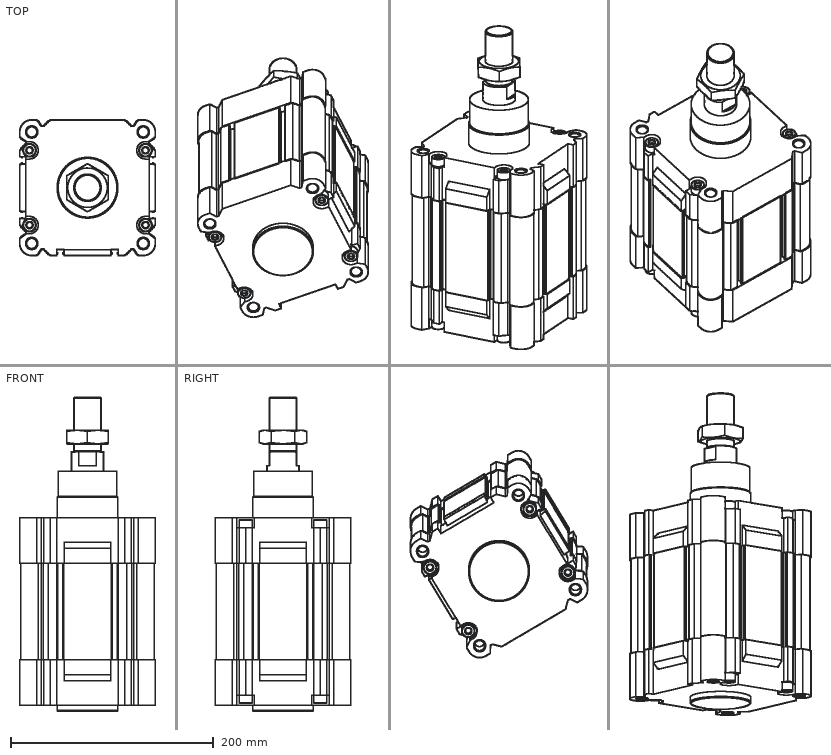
import cadquery as cq
import math


cap_height = 45
barrel_length = 95
body_length = 2 * cap_height + barrel_length
spigot_length = 6
collar_wide_length = 21
collar_length = 46
rod_shoulder_z = body_length + 65
rod_end_z = rod_shoulder_z + 54

cap_half = 67
barrel_half = 66
corner_offset = 55

cap_groove = {"outer": 49.9, "floor_outer": 45.6, "floor_inner": 43.3, "inner": 36.7, "floor": 60.4}
barrel_groove = {"outer": 48.4, "floor_outer": 45.4, "floor_inner": 43.5, "inner": 38.6, "floor": 61}

recess_half_width = 30.3
recess_floor = 61
pad_half_width = 23.1
pad_length = 21
pad_ramp_length = 6

slot_inner = 23.6
slot_outer = 30.3
slot_lip = 0.8
slot_lip_depth = 1.8
slot_lip_chamfer = 0.9
slot_floor = 60

corner_hole_diameter = 10.11
corner_hole_mouth = 12
corner_hole_depth = 24

screw_x = 57.2
screw_y = 36.9
screw_pocket_diameter = 17.2
screw_pocket_depth = 10
screw_head_diameter = 13
screw_head_chamfer = 0.5
screw_head_height = 8
screw_socket_diameter = 5.8
screw_socket_mouth = 7
screw_socket_depth = 4

spigot_diameter = 60
collar_diameter = 58
spigot_chamfer = (spigot_diameter - collar_diameter) / 2

rod_diameter = 32
thread_diameter = 27
thread_root_diameter = 24.84
thread_chamfer = (thread_diameter - thread_root_diameter) / 2
flat_width = 27
flat_length = 13.5
nut_width = 41
nut_thickness = 13.8
nut_z = rod_shoulder_z + 7.7
nut_chamfer_height = 1.5
nut_face_diameter = 0.95 * nut_width

quarter_turns = (0, 90, 180, 270)
drill_point_slope = 1 / math.tan(math.radians(118 / 2))


def turned(shape, angle):
    """Turn a shape about the cylinder axis."""
    return shape.rotate((0, 0, 0), (0, 0, 1), angle)


def block(x_min, x_max, y_min, y_max, z_min, z_max):
    """Box between two corners."""
    size = (x_max - x_min, y_max - y_min, z_max - z_min)
    return cq.Workplane().box(*size, centered=False).translate((x_min, y_min, z_min))


def column(half_size, groove, height):
    """Square column with round corners and a V-groove on both sides of each corner."""
    side = 2 * half_size
    shape = cq.Workplane().rect(side, side).extrude(height)
    shape = shape.edges("|Z").fillet(half_size - corner_offset)
    profile = [
        (groove["outer"], -half_size),
        (groove["floor_outer"], -groove["floor"]),
        (groove["floor_inner"], -groove["floor"]),
        (groove["inner"], -half_size),
    ]
    cutter = cq.Workplane().polyline(profile).close().extrude(height)
    for angle in quarter_turns:
        shape = shape.cut(turned(cutter, angle))
        shape = shape.cut(turned(cutter.mirror("YZ"), angle))
    return shape


def side_pad():
    """Raised pad on the -Y side of a cap, standing on the barrel end and sloping off."""
    profile = [
        (-recess_floor, 0),
        (-cap_half, 0),
        (-cap_half, pad_length - pad_ramp_length),
        (-recess_floor, pad_length),
    ]
    return cq.Workplane("YZ").polyline(profile).close().extrude(pad_half_width, both=True)


def corner_hole():
    """Threaded hole with a chamfered mouth, on the axis and open at the cap's end face."""
    root_radius = corner_hole_diameter / 2
    mouth_radius = corner_hole_mouth / 2
    bottom = cap_height - corner_hole_depth
    profile = [
        (0, bottom - root_radius * drill_point_slope),
        (root_radius, bottom),
        (root_radius, cap_height - (mouth_radius - root_radius)),
        (mouth_radius, cap_height),
        (0, cap_height),
    ]
    return cq.Workplane("XZ").polyline(profile).close().revolve(360, (0, 0), (0, 1))


def cap_screw():
    """Cap screw head with a round key socket, on the axis in its pocket."""
    floor = cap_height - screw_pocket_depth
    head = cq.Workplane().workplane(offset=floor).circle(screw_head_diameter / 2).extrude(screw_head_height)
    head = head.faces(">Z").chamfer(screw_head_chamfer)
    top = floor + screw_head_height
    radius = screw_socket_diameter / 2
    mouth_radius = screw_socket_mouth / 2
    profile = [
        (0, top),
        (mouth_radius, top),
        (radius, top - (mouth_radius - radius)),
        (radius, top - screw_socket_depth),
        (0, top - screw_socket_depth - radius * drill_point_slope),
    ]
    return head.cut(cq.Workplane("XZ").polyline(profile).close().revolve(360, (0, 0), (0, 1)))


def make_cap():
    """End cap with its barrel side at Z = 0 and its end face at the top."""
    cap = column(cap_half, cap_groove, cap_height)
    recess = block(-recess_half_width, recess_half_width, -cap_half, -recess_floor, 0, cap_height)
    for angle in (0, 90, 270):
        cap = cap.cut(turned(recess, angle)).union(turned(side_pad(), angle))
    pocket_floor = cap_height - screw_pocket_depth
    pocket_radius = screw_pocket_diameter / 2
    pocket = cq.Workplane().workplane(offset=pocket_floor).circle(pocket_radius).extrude(screw_pocket_depth)
    side_opening = block(0, cap_half - screw_x, -pocket_radius, pocket_radius, pocket_floor, cap_height)
    pocket = pocket.union(side_opening)
    for x_sign in (-1, 1):
        for y_sign in (-1, 1):
            screw_place = (x_sign * screw_x, y_sign * screw_y, 0)
            pocket_turn = 0 if x_sign > 0 else 180
            hole_place = (x_sign * corner_offset, y_sign * corner_offset, 0)
            cap = cap.cut(turned(pocket, pocket_turn).translate(screw_place))
            cap = cap.union(cap_screw().translate(screw_place))
            cap = cap.cut(corner_hole().translate(hole_place))
    return cap


def make_barrel():
    """Barrel profile with two undercut slots in each side, standing on Z = 0."""
    barrel = column(barrel_half, barrel_groove, barrel_length)
    mouth_inner = slot_inner + slot_lip
    mouth_outer = slot_outer - slot_lip
    profile = [
        (mouth_inner - slot_lip_chamfer, -barrel_half),
        (mouth_inner, slot_lip_chamfer - barrel_half),
        (mouth_inner, slot_lip_depth - barrel_half),
        (slot_inner, slot_lip_depth - barrel_half),
        (slot_inner, -slot_floor),
        (slot_outer, -slot_floor),
        (slot_outer, slot_lip_depth - barrel_half),
        (mouth_outer, slot_lip_depth - barrel_half),
        (mouth_outer, slot_lip_chamfer - barrel_half),
        (mouth_outer + slot_lip_chamfer, -barrel_half),
    ]
    slot = cq.Workplane().polyline(profile).close().extrude(barrel_length)
    for angle in quarter_turns:
        barrel = barrel.cut(turned(slot, angle)).cut(turned(slot.mirror("YZ"), angle))
    return barrel


def spigot(length):
    """Chamfered centring spigot standing on Z = 0."""
    return cq.Workplane().circle(spigot_diameter / 2).extrude(length).faces(">Z").chamfer(spigot_chamfer)


def make_housing():
    """Rear cap, barrel, front cap, spigots and rod collar as one body."""
    cap = make_cap()
    front_cap = cap.translate((0, 0, body_length - cap_height))
    rear_cap = cap.mirror("XY").translate((0, 0, cap_height))
    barrel = make_barrel().translate((0, 0, cap_height))
    rear_spigot = spigot(spigot_length).mirror("XY")
    front_spigot = spigot(collar_wide_length).translate((0, 0, body_length))
    collar = cq.Workplane().workplane(offset=body_length).circle(collar_diameter / 2).extrude(collar_length)
    housing = barrel.union(front_cap).union(rear_cap)
    return housing.union(rear_spigot).union(front_spigot).union(collar)


def make_rod():
    """Piston rod with wrench flats and a threaded end, standing on the collar."""
    rod = (
        cq.Workplane()
        .workplane(offset=body_length + collar_length)
        .circle(rod_diameter / 2)
        .extrude(rod_shoulder_z - body_length - collar_length)
    )
    for angle in (0, 180):
        flat = block(
            -rod_diameter,
            rod_diameter,
            flat_width / 2,
            rod_diameter,
            rod_shoulder_z - flat_length,
            rod_shoulder_z,
        )
        rod = rod.cut(turned(flat, angle))
    thread = (
        cq.Workplane()
        .workplane(offset=rod_shoulder_z)
        .circle(thread_diameter / 2)
        .extrude(rod_end_z - rod_shoulder_z)
        .faces("<Z or >Z")
        .chamfer(thread_chamfer)
    )
    return rod.union(thread)


def make_nut():
    """Hexagon nut on the rod thread, its corners turned off at both faces."""
    corner_diameter = nut_width / math.cos(math.radians(30))
    hexagon = (
        cq.Workplane()
        .transformed(rotate=(0, 0, 30))
        .polygon(6, corner_diameter)
        .extrude(nut_thickness)
    )
    face_loss = (corner_diameter - nut_face_diameter) / 2
    turned_blank = (
        cq.Workplane()
        .circle(corner_diameter / 2)
        .extrude(nut_thickness)
        .faces("<Z or >Z")
        .chamfer(nut_chamfer_height, face_loss)
    )
    bore = cq.Workplane().circle(thread_diameter / 2).extrude(nut_thickness)
    return hexagon.intersect(turned_blank).cut(bore).translate((0, 0, nut_z))


housing = make_housing()
rod = make_rod()
nut = make_nut()

result = cq.Compound.makeCompound([housing.val(), rod.val(), nut.val()])